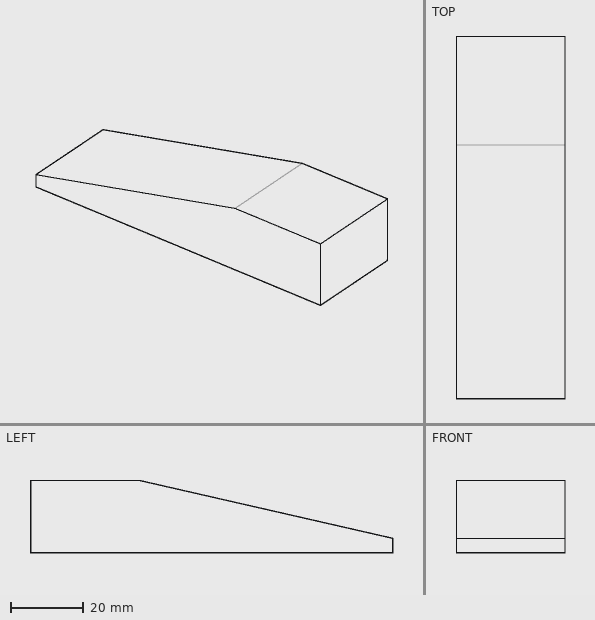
import cadquery as cq

width = 30
length = 100
height = 20

flat_length = 30
tip_height = 4

front_y = -length / 2
back_y = length / 2

result = (
    cq.Workplane("YZ")
    .moveTo(front_y, 0)
    .lineTo(back_y, 0)
    .lineTo(back_y, height)
    .lineTo(back_y - flat_length, height)
    .lineTo(front_y, tip_height)
    .close()
    .extrude(width / 2, both=True)
)